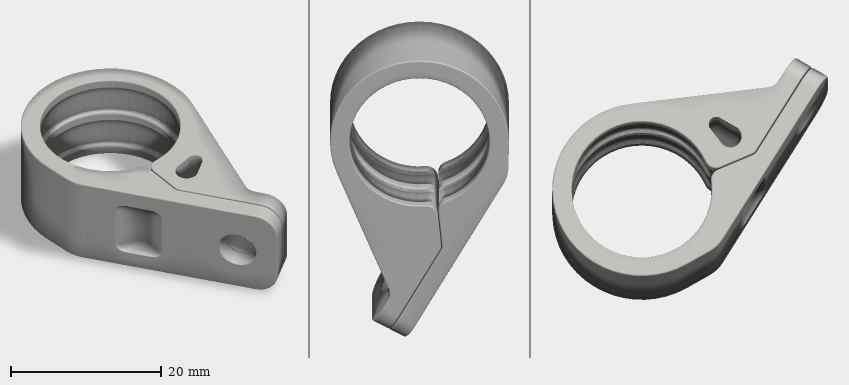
import cadquery as cq
import math

length = 38.63
height = 12.7
mid_z = height / 2
edge_fillet = 0.2
overrun = 0.4

ring_radius = 11.9
bore_radius = 9.3

tab_front_y = -12.75
tab_back_y = -7.73
tab_end_x = length - ring_radius
tab_corner_radius = 3.0
back_normal_angle = 38.5
back_fillet = 2.0
heel_normal_angle = 241.6
heel_fillet = 5.02

slit_width = 0.1
slit_y = (tab_front_y + tab_back_y) / 2
slit_elbow_x = 12.1
slit_angle = 35.0
slit_elbow_fillet = 1.0
slit_mouth_fillet = 1.5

bolt_x = 21.25
bolt_diameter = 5.2

groove_radius = 9.9
groove_fillet = 0.27
outer_lip = 1.2
middle_rib = 0.95

notch_x = 7.57
notch_width = 6.37
notch_height = 8.05
notch_angle = 36.0
notch_root_radius = 2.0
notch_end_fillet = 0.95

pocket_front = (12.35, -6.25)
pocket_front_radius = 1.5
pocket_back = (12.83, -3.8)
pocket_back_radius = 1.0
pocket_floor_fillet = 0.95
pocket_depth = 5.02


def polar(radius, angle):
    return (radius * math.cos(math.radians(angle)), radius * math.sin(math.radians(angle)))


def x_on_tangent(normal_angle, y):
    """X where the line touching the ring at normal_angle reaches the given Y."""
    normal_x, normal_y = polar(1.0, normal_angle)
    return (ring_radius - y * normal_y) / normal_x


def vertical_edges_at(body, x, y):
    tolerance = 0.02
    box = cq.selectors.BoxSelector(
        (x - tolerance, y - tolerance, -overrun),
        (x + tolerance, y + tolerance, height + overrun),
    )
    return body.edges("|Z").edges(box)


def make_blank():
    back_corner = (x_on_tangent(back_normal_angle, tab_back_y), tab_back_y)
    heel_corner = (x_on_tangent(heel_normal_angle, tab_front_y), tab_front_y)
    blank = (
        cq.Workplane("XY")
        .moveTo(*polar(ring_radius, back_normal_angle))
        .threePointArc(
            polar(ring_radius, (back_normal_angle + heel_normal_angle) / 2),
            polar(ring_radius, heel_normal_angle),
        )
        .lineTo(*heel_corner)
        .lineTo(tab_end_x, tab_front_y)
        .lineTo(tab_end_x, tab_back_y)
        .lineTo(*back_corner)
        .close()
        .extrude(height)
    )
    blank = vertical_edges_at(blank, *back_corner).fillet(back_fillet)
    blank = vertical_edges_at(blank, *heel_corner).fillet(heel_fillet)
    return blank.edges("|Y and >X").fillet(tab_corner_radius)


def make_slit():
    """Bent sheet running from the bore to the end of the tab."""
    half = slit_width / 2
    inner_x = bore_radius / 2
    run = slit_elbow_x - inner_x
    rise = run * math.tan(math.radians(slit_angle))
    shift = half * math.tan(math.radians(slit_angle / 2))
    lift = half / math.cos(math.radians(slit_angle))
    lower_elbow = (slit_elbow_x - shift, slit_y - half)
    upper_elbow = (slit_elbow_x + shift, slit_y + half)
    slit = (
        cq.Workplane("XY")
        .moveTo(tab_end_x + overrun, slit_y - half)
        .lineTo(*lower_elbow)
        .lineTo(inner_x, slit_y + rise - lift)
        .lineTo(inner_x, slit_y + rise + lift)
        .lineTo(*upper_elbow)
        .lineTo(tab_end_x + overrun, slit_y + half)
        .close()
        .extrude(height)
    )
    slit = vertical_edges_at(slit, *lower_elbow).fillet(slit_elbow_fillet + half)
    return vertical_edges_at(slit, *upper_elbow).fillet(slit_elbow_fillet - half)


def slit_mouth(side):
    """Corner where the slit's upper (+1) or lower (-1) face meets the bore."""
    normal_angle = 90 - slit_angle
    normal_x, normal_y = polar(1.0, normal_angle)
    mid_distance = slit_elbow_x * normal_x + slit_y * normal_y
    distance = mid_distance + side * slit_width / 2
    return polar(bore_radius, normal_angle - math.degrees(math.acos(distance / bore_radius)))


def make_grooves():
    """Revolved cutters that round both the rims and the roots of the grooves."""
    groove_height = (height - 2 * outer_lip - middle_rib) / 2
    bottom = outer_lip
    top = outer_lip + groove_height
    rim_x = bore_radius + groove_fillet
    root_x = groove_radius - groove_fillet
    lower = (
        cq.Workplane("XZ")
        .moveTo(0, bottom)
        .lineTo(bore_radius, bottom)
        .radiusArc((rim_x, bottom + groove_fillet), groove_fillet)
        .lineTo(root_x, bottom + groove_fillet)
        .radiusArc((groove_radius, bottom + 2 * groove_fillet), -groove_fillet)
        .lineTo(groove_radius, top - 2 * groove_fillet)
        .radiusArc((root_x, top - groove_fillet), -groove_fillet)
        .lineTo(rim_x, top - groove_fillet)
        .radiusArc((bore_radius, top), groove_fillet)
        .lineTo(0, top)
        .close()
        .revolve(360, (0, 0, 0), (0, 1, 0))
    )
    return lower.union(lower.translate((0, 0, groove_height + middle_rib)))


def make_notch():
    half = notch_width / 2
    apex = (notch_x, tab_front_y + half * math.tan(math.radians(notch_angle)))
    notch = (
        cq.Workplane("XY")
        .moveTo(notch_x - half, tab_front_y)
        .lineTo(notch_x + half, tab_front_y)
        .lineTo(*apex)
        .close()
        .extrude(notch_height)
    )
    notch = vertical_edges_at(notch, *apex).fillet(notch_root_radius)
    notch = notch.faces("<Z or >Z").edges("not <Y").fillet(notch_end_fillet)
    return notch.translate((0, 0, mid_z - notch_height / 2))


def make_pocket():
    """Two round ends joined by their common tangents, with a rounded floor."""
    dx = pocket_back[0] - pocket_front[0]
    dy = pocket_back[1] - pocket_front[1]
    axis_angle = math.degrees(math.atan2(dy, dx))
    spread = math.degrees(math.acos((pocket_front_radius - pocket_back_radius) / math.hypot(dx, dy)))

    def front(angle):
        offset = polar(pocket_front_radius, axis_angle + angle)
        return (pocket_front[0] + offset[0], pocket_front[1] + offset[1])

    def back(angle):
        offset = polar(pocket_back_radius, axis_angle + angle)
        return (pocket_back[0] + offset[0], pocket_back[1] + offset[1])

    return (
        cq.Workplane("XY")
        .workplane(offset=height - pocket_depth)
        .moveTo(*front(spread))
        .threePointArc(front(180), front(-spread))
        .lineTo(*back(-spread))
        .threePointArc(back(0), back(spread))
        .close()
        .extrude(pocket_depth)
        .faces("<Z")
        .edges()
        .fillet(pocket_floor_fillet)
    )


def make_bolt_hole():
    """Hole through both halves of the tab and the foot of the sloping back."""
    return (
        cq.Workplane("XZ", origin=(bolt_x, 0, mid_z))
        .circle(bolt_diameter / 2)
        .extrude(-tab_front_y)
    )


bore = cq.Workplane("XY").circle(bore_radius).extrude(height)
result = make_blank().cut(bore).cut(make_slit())
for side in (1, -1):
    result = vertical_edges_at(result, *slit_mouth(side)).fillet(slit_mouth_fillet)
result = result.faces("<Z or >Z").edges().fillet(edge_fillet)
for cutter in (make_grooves(), make_notch(), make_pocket(), make_bolt_hole()):
    result = result.cut(cutter)